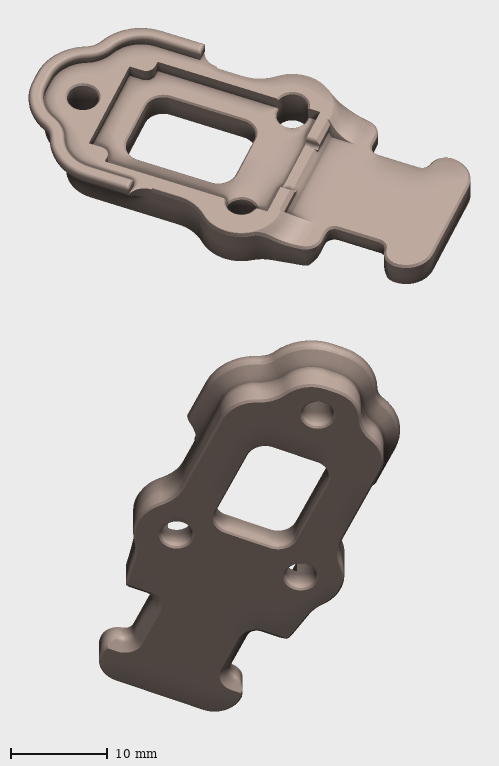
import cadquery as cq
import math

body_height = 4.5
tail_height = 3.0
lip_top = 5.6
edge_chamfer = 0.25
body_bevel_height = 0.2

lip_reach = 1.7
arc_radius = 4.0
nose_left = lip_reach
nose_half_flat = 0.625
nose_centre = (nose_left + arc_radius, nose_half_flat)
side_y = 9.0
cheek_centre = (9.85, side_y - arc_radius)

lobe_centre = (25.9, 7.0)
lobe_radius = 4.5

shoulder_x = 35.1
shoulder_slope = math.radians(9.3)
shoulder_corner_y = 9.1
shoulder_corner_radius = 1.8
lobe_blend_radius = 4.0
neck_y = 5.48
neck_radius = 0.97
neck_end_x = 40.6
head_right = 46.4
head_y = 7.9
head_corner_radius = 2.995
head_corner_x = head_right - head_corner_radius

lobe_edge_x = lobe_centre[0] + lobe_radius
ramp_length = 3.25
ramp_drop = body_height - body_bevel_height - tail_height
ramp_radius = (ramp_length**2 + ramp_drop**2) / (2 * ramp_drop)

notch_y = 5.7
notch_draft = 0.95
rim_bevel = 0.4
dip_inner_y = 2.95
dip_outer_y = 3.85
dip_depth = 0.75
rim_bevel_height = dip_depth / 2

lip_flare_reach = 1.4
lip_flare_top = 4.2
lip_round = 0.5
bead_setback = 0.15
bed_bottom = 3.95
lip_root = 0.3
lip_end_radius = 2.0
lip_end_x = 16.65
bead_end_x = 14.75
bead_end_round = 0.4

hole_radius = 3.3 / 2
hole_chamfer = 0.2
nose_hole = (5.4, 0.0)
window_left, window_right = 11.3, 23.5
window_half_width = 4.5
window_radius = 2.0
pocket_left, pocket_right = 8.3, 28.9
pocket_half_width = 7.3
pocket_depth = 1.5
pocket_floor = body_height - pocket_depth
pocket_step_x = 10.75
pocket_step_y = 5.6
pocket_step_radius = 1.0

undercut = 1.05
undercut_bend = 0.97

far = 13.9


def toward(start, target, distance):
    """Point at a distance from start on the way to target."""
    length = math.dist(start, target)
    return tuple(s + (t - s) * distance / length for s, t in zip(start, target))


def arc_middle(centre, start, end):
    """Middle of the shorter arc from start to end."""
    chord_middle = tuple((s + e) / 2 for s, e in zip(start, end))
    return toward(centre, chord_middle, math.dist(centre, start))


def flip(point):
    """Mirror image of a plan point across the long axis."""
    return (point[0], -point[1])


def draw_path(start, segments):
    """Draw segments (end point, arc centre or None for a straight line)."""
    path = cq.Workplane("XY").moveTo(*start)
    for end, centre in segments:
        if centre is None:
            path = path.lineTo(*end)
        else:
            path = path.threePointArc(arc_middle(centre, start, end), end)
        start = end
    return path


def symmetric_path(start, segments):
    """Path through the lower mirror image of the segments, then the segments themselves."""
    points = [start] + [end for end, _ in segments]
    lower = [(flip(points[i]), segments[i][1] and flip(segments[i][1]))
             for i in range(len(segments) - 1, -1, -1)]
    return draw_path(flip(points[-1]), lower + [(start, None)] + segments)


def front_segments():
    """Left end of the body, from the nose flat to the straight side."""
    gap = math.dist(nose_centre, cheek_centre)
    middle = tuple((n + c) / 2 for n, c in zip(nose_centre, cheek_centre))
    reach = math.sqrt((2 * arc_radius) ** 2 - (gap / 2) ** 2)
    hollow_centre = (
        middle[0] - reach * (cheek_centre[1] - nose_centre[1]) / gap,
        middle[1] + reach * (cheek_centre[0] - nose_centre[0]) / gap,
    )
    return [
        (toward(nose_centre, hollow_centre, arc_radius), nose_centre),
        (toward(cheek_centre, hollow_centre, arc_radius), hollow_centre),
        ((cheek_centre[0], side_y), cheek_centre),
    ]


def lobe_segments():
    """Straight side, waist arc and lobe, then the blend onto the sloping shoulder."""
    rise = side_y + lobe_radius - lobe_centre[1]
    waist_centre = (
        lobe_centre[0] - math.sqrt((2 * lobe_radius) ** 2 - rise**2),
        side_y + lobe_radius,
    )
    along = (math.cos(shoulder_slope), -math.sin(shoulder_slope))
    normal = (math.sin(shoulder_slope), math.cos(shoulder_slope))
    offset = (lobe_centre[0] - shoulder_x, lobe_centre[1] - shoulder_corner_y)
    lobe_along = offset[0] * along[0] + offset[1] * along[1]
    lobe_above = offset[0] * normal[0] + offset[1] * normal[1]
    blend_along = lobe_along + math.sqrt(
        (lobe_radius + lobe_blend_radius) ** 2 - (lobe_blend_radius - lobe_above) ** 2)
    shoulder_start = (
        shoulder_x + blend_along * along[0],
        shoulder_corner_y + blend_along * along[1],
    )
    blend_centre = (
        shoulder_start[0] + lobe_blend_radius * normal[0],
        shoulder_start[1] + lobe_blend_radius * normal[1],
    )
    corner_centre = (
        shoulder_x - shoulder_corner_radius,
        shoulder_corner_y + shoulder_corner_radius * (
            math.tan(shoulder_slope) - 1 / math.cos(shoulder_slope)),
    )
    corner_start = (
        corner_centre[0] + shoulder_corner_radius * normal[0],
        corner_centre[1] + shoulder_corner_radius * normal[1],
    )
    return [
        ((waist_centre[0], side_y), None),
        (toward(waist_centre, lobe_centre, lobe_radius), waist_centre),
        (toward(lobe_centre, blend_centre, lobe_radius), lobe_centre),
        (shoulder_start, blend_centre),
        (corner_start, None),
        ((shoulder_x, corner_centre[1]), corner_centre),
    ]


def tail_segments():
    """Neck and T-shaped head."""
    fillet_y = neck_y + neck_radius
    run = head_corner_x - neck_end_x
    height = head_y - fillet_y
    inner_radius = (run**2 + height**2 - neck_radius**2) / (2 * (neck_radius + height))
    inner_centre = (head_corner_x, head_y - inner_radius)
    outer_centre = (head_corner_x, head_y - head_corner_radius)
    start_centre = (shoulder_x + neck_radius, fillet_y)
    end_centre = (neck_end_x, fillet_y)
    return [
        ((shoulder_x, fillet_y), None),
        ((start_centre[0], neck_y), start_centre),
        ((neck_end_x, neck_y), None),
        (toward(end_centre, inner_centre, neck_radius), end_centre),
        ((head_corner_x, head_y), inner_centre),
        ((head_right, outer_centre[1]), outer_centre),
    ]


nose_start = (nose_left, nose_half_flat)
lobe_end = lobe_segments()[2][0]
outline = front_segments() + lobe_segments() + tail_segments()


def plan_prism():
    """Whole outline of body and tail, bevelled above and below."""
    prism = symmetric_path(nose_start, outline).close().extrude(body_height)
    prism = prism.faces("<Z").chamfer(edge_chamfer)
    return prism.faces(">Z").chamfer(body_bevel_height, edge_chamfer)


def block(x_range, y_range, z_range):
    """Box between the given limits."""
    size = [high - low for low, high in (x_range, y_range, z_range)]
    corner = (x_range[0], y_range[0], z_range[0])
    return cq.Workplane("XY").box(*size, centered=False).translate(corner)


def ramp_profile(x_start):
    """Section from x_start under the body top, down the hollow ramp to tail height."""
    ramp_end = lobe_edge_x + ramp_length
    arc_centre = (ramp_end, tail_height + ramp_radius)
    top = (lobe_edge_x, body_height - body_bevel_height)
    bottom = (ramp_end, tail_height)
    return (
        cq.Workplane("XZ").moveTo(x_start, 0).lineTo(x_start, body_height)
        .lineTo(lobe_edge_x - edge_chamfer, body_height).lineTo(*top)
        .threePointArc(arc_middle(arc_centre, top, bottom), bottom)
        .lineTo(ramp_end, 0).close()
    )


def height_envelope():
    """Space under the body top, the ramps and the tail top."""
    envelope = block((0, head_right), (-far, far), (0, tail_height))
    envelope = envelope.union(block((0, lobe_centre[0]), (-far, far), (0, body_height)))
    straight = ramp_profile(lobe_centre[0]).extrude(lobe_centre[1], both=True)
    envelope = envelope.union(straight)
    for side in (1, -1):
        lobe = (
            ramp_profile(lobe_centre[0])
            .revolve(360, (lobe_centre[0], 0, 0), (lobe_centre[0], 1, 0))
            .translate((0, side * lobe_centre[1], 0))
        )
        envelope = envelope.union(lobe)
    return envelope


def chamfer_tail_rim(solid):
    """Chamfer the upper outer edge of the ramps and the tail."""
    inside = symmetric_path(nose_start, outline).close().offset2D(-edge_chamfer / 4)
    core = inside.extrude(body_height).val()
    rim = solid.edges("not |Z").filter(
        lambda edge: edge.Center().x > lobe_end[0]
        and edge.Center().z > tail_height - edge_chamfer / 4
        and not core.isInside(edge.positionAt(0.5))
    )
    return rim.chamfer(edge_chamfer)


def notch():
    """Clearance over the tail between the ramps, bevelled along the rim and at its ends."""
    length = shoulder_x - lobe_edge_x + rim_bevel
    across = (
        cq.Workplane("YZ", origin=(lobe_edge_x - rim_bevel, 0, 0))
        .polyline([
            (-notch_y, tail_height), (notch_y, tail_height),
            (notch_y + notch_draft, body_height), (-notch_y - notch_draft, body_height),
        ])
        .close().extrude(length)
    )
    along = (
        cq.Workplane("XZ")
        .polyline([
            (lobe_edge_x + rim_bevel, tail_height),
            (lobe_edge_x, tail_height + rim_bevel_height),
            (lobe_edge_x, body_height - rim_bevel_height),
            (lobe_edge_x - rim_bevel, body_height),
            (shoulder_x, body_height), (shoulder_x, tail_height),
        ])
        .close().extrude(far, both=True)
    )
    return across.intersect(along)


def rim_dip():
    """Low middle of the rim between pocket and notch, with S-shaped ends."""
    low = body_height - dip_depth
    end_width = dip_outer_y - dip_inner_y
    end_radius = (end_width**2 + dip_depth**2) / (4 * dip_depth)
    bend = ((dip_inner_y + dip_outer_y) / 2, body_height - dip_depth / 2)
    low_end = (dip_inner_y, low)
    high_end = (dip_outer_y, body_height)
    low_middle = arc_middle((dip_inner_y, low + end_radius), low_end, bend)
    high_middle = arc_middle((dip_outer_y, body_height - end_radius), bend, high_end)
    half_dip = (
        cq.Workplane("YZ", origin=(pocket_right, 0, 0))
        .moveTo(0, low).lineTo(*low_end).threePointArc(low_middle, bend)
        .threePointArc(high_middle, high_end).lineTo(0, body_height).close()
        .extrude(lobe_edge_x - pocket_right)
    )
    dip = half_dip.union(half_dip.mirror("XZ"))
    low_bevel = (
        cq.Workplane("XZ")
        .polyline([
            (lobe_edge_x - rim_bevel, low), (lobe_edge_x, low), (lobe_edge_x, low - rim_bevel_height)
        ])
        .close().extrude(dip_inner_y, both=True)
    )
    return dip.union(low_bevel)


def lip():
    """Raised, flared lip swept round the left end of the body, with hollowed ends."""
    round_start = (-lip_reach, lip_top - lip_round)
    flare_end = (-lip_flare_reach, lip_flare_top)
    belly_width = lip_reach - lip_flare_reach
    belly_height = round_start[1] - lip_flare_top
    belly_radius = (belly_width**2 + belly_height**2) / (2 * belly_width)
    belly_centre = (belly_radius - lip_reach, round_start[1])
    path = symmetric_path(nose_start, front_segments() + [((lip_end_x, side_y), None)])
    profile = (
        cq.Workplane("YZ", origin=(lip_end_x, -side_y, 0))
        .moveTo(lip_root, tail_height).lineTo(0, tail_height).lineTo(*flare_end)
        .threePointArc(arc_middle(belly_centre, flare_end, round_start), round_start)
        .tangentArcPoint((lip_round - lip_reach, lip_top), relative=False)
        .lineTo(-bead_setback - lip_round, lip_top)
        .tangentArcPoint((-bead_setback, lip_top - lip_round), relative=False)
        .lineTo(-bead_setback, lip_flare_top).lineTo(lip_root, lip_flare_top).close()
    )
    bed_end = (lip_end_x - bead_setback, side_y)
    bed = (
        symmetric_path(nose_start, front_segments() + [(bed_end, None)]).close()
        .offset2D(bead_setback)
        .extrude(body_height - bed_bottom).translate((0, 0, bed_bottom))
    )
    ring = profile.sweep(path).union(bed)
    for side in (1, -1):
        hollow = (
            cq.Workplane("XY").center(lip_end_x, side * (side_y + lip_end_radius))
            .circle(lip_end_radius).extrude(lip_top)
        )
        ring = ring.cut(hollow)
    bead_cut = (
        cq.Workplane("XZ").moveTo(lip_end_x, body_height).lineTo(bead_end_x, body_height)
        .lineTo(bead_end_x, lip_top - bead_end_round)
        .tangentArcPoint((bead_end_x - bead_end_round, lip_top), relative=False)
        .lineTo(lip_end_x, lip_top).close().extrude(far, both=True)
    )
    return ring.cut(bead_cut)


def pocket():
    """Pocket with a rounded step left standing in each left corner."""
    cavity = block(
        (pocket_left, pocket_right), (-pocket_half_width, pocket_half_width),
        (pocket_floor, body_height))
    for side in (1, -1):
        step = (
            block(
                (pocket_left, pocket_step_x), (pocket_step_y, pocket_half_width),
                (pocket_floor, body_height))
            .edges("|Z and >X and <Y").fillet(pocket_step_radius)
        )
        if side < 0:
            step = step.mirror("XZ")
        cavity = cavity.cut(step)
    return cavity


def window():
    """Rounded rectangular opening in the pocket floor, chamfered at both mouths."""
    mouth = cq.Sketch().rect(
        window_right - window_left + 2 * hole_chamfer, 2 * (window_half_width + hole_chamfer)
    ).vertices().fillet(window_radius + hole_chamfer)
    centre_x = (window_left + window_right) / 2
    bevel = cq.Workplane("XY").placeSketch(mouth).extrude(hole_chamfer, taper=45)
    upper_bevel = bevel.mirror("XY").translate((0, 0, pocket_floor))
    opening = (
        block(
            (window_left - centre_x, window_right - centre_x),
            (-window_half_width, window_half_width), (0, pocket_floor))
        .edges("|Z").fillet(window_radius)
    )
    return opening.union(bevel).union(upper_bevel).translate((centre_x, 0, 0))


def chamfered_hole(centre, top):
    """Through hole up to the given level, with a small chamfer at both mouths."""
    hole = cq.Workplane("XY").center(*centre).circle(hole_radius).extrude(top)
    mouth = (
        cq.Workplane("XY", origin=(*centre, top)).circle(hole_radius + hole_chamfer)
        .extrude(-hole_chamfer, taper=45)
    )
    exit_bevel = (
        cq.Workplane("XY").center(*centre).circle(hole_radius + hole_chamfer)
        .extrude(hole_chamfer, taper=45)
    )
    return hole.union(mouth).union(exit_bevel)


def neck_undercut():
    """Flare cut below the neck, shoulder and head on one side, blended into their upright walls."""
    fillet_y = neck_y + neck_radius
    head_wall_x = neck_end_x + neck_radius
    path = draw_path((shoulder_x, far), [
        ((shoulder_x, fillet_y), None),
        ((shoulder_x + neck_radius, neck_y), (shoulder_x + neck_radius, fillet_y)),
        ((neck_end_x, neck_y), None),
        ((head_wall_x, fillet_y), (neck_end_x, fillet_y)),
        ((head_wall_x, far), None),
    ])
    bend_length = undercut_bend * math.tan(math.pi / 8)
    bend_drop = bend_length * math.sin(math.pi / 4)
    section = (
        cq.Workplane("XZ", origin=(shoulder_x, far, 0))
        .moveTo(-undercut, 0).lineTo(-bend_drop, undercut - bend_drop)
        .tangentArcPoint((0, undercut + bend_length), relative=False)
        .lineTo(0, 0).close()
    )
    return section.sweep(path)


result = plan_prism().intersect(height_envelope())
result = chamfer_tail_rim(result)
result = result.cut(notch()).cut(rim_dip())

result = result.union(lip())
result = result.cut(pocket()).cut(window())
result = result.cut(chamfered_hole(nose_hole, body_height))
below_pocket = block(
    (pocket_left, pocket_right), (-pocket_half_width, pocket_half_width), (0, pocket_floor))
for side in (1, -1):
    lobe_hole = (lobe_centre[0], side * lobe_centre[1])
    result = result.cut(chamfered_hole(lobe_hole, body_height))
    result = result.cut(chamfered_hole(lobe_hole, pocket_floor).intersect(below_pocket))

undercut_cutter = neck_undercut()
result = result.cut(undercut_cutter).cut(undercut_cutter.mirror("XZ"))